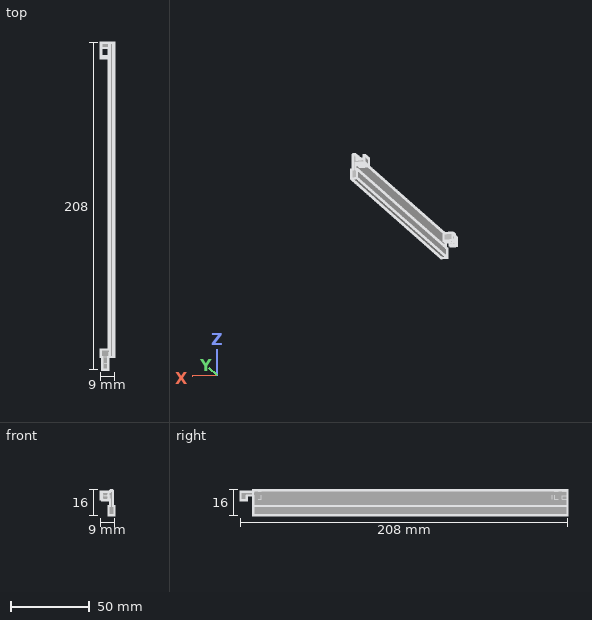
import cadquery as cq

rail_length = 200.0
foot_width = 4.0
foot_height = 6.0
web_thickness = 2.0
total_height = 16.0
total_width = 9.0

foot_left = total_width - foot_width
web_left = foot_left + (foot_width - web_thickness) / 2
web_radius = web_thickness / 2

block_top = total_height - web_radius
block_height = 5.0
block_bottom = block_top - block_height
plug_block_length = 5.0
socket_block_length = 10.0

hook_reach = 8.0
hook_width = 4.0
hook_left = (web_left - hook_width) / 2
arm_thickness = 2.5
tip_length = 4.0
tip_height = 5.5

side_clearance = 0.25
end_clearance = 0.5
socket_left = hook_left - side_clearance
socket_right = hook_left + hook_width + side_clearance
hole_start = rail_length - hook_reach - end_clearance
hole_end = rail_length - hook_reach + tip_length + end_clearance
ledge_height = block_top - arm_thickness - side_clearance


def box(x_start, x_end, y_start, y_end, z_start, z_end):
    """Box between the given limits on each axis."""
    size = (x_end - x_start, y_end - y_start, z_end - z_start)
    return cq.Workplane("XY").box(*size, centered=False).translate((x_start, y_start, z_start))


def make_rail():
    foot = box(foot_left, total_width, 0, rail_length, 0, foot_height)
    web = box(web_left, web_left + web_thickness, 0, rail_length, foot_height, block_top)
    rounded_edge = (
        cq.Workplane("XZ")
        .center(web_left + web_radius, block_top)
        .circle(web_radius)
        .extrude(-rail_length)
    )
    return foot.union(web).union(rounded_edge)


def make_plug():
    """Block at the -Y end with an arm and a downward hook tip."""
    hook_right = hook_left + hook_width
    block = box(0, web_left, 0, plug_block_length, block_bottom, block_top)
    arm = box(hook_left, hook_right, -hook_reach, 0, block_top - arm_thickness, block_top)
    tip = box(hook_left, hook_right, -hook_reach, tip_length - hook_reach, block_top - tip_height, block_top)
    return block.union(arm).union(tip)


def make_socket():
    """Block at the +Y end with a through hole for the tip and a lowered ledge for the arm."""
    block = box(0, web_left, rail_length - socket_block_length, rail_length, block_bottom, block_top)
    hole = box(socket_left, socket_right, hole_start, hole_end, block_bottom, block_top)
    arm_slot = box(socket_left, socket_right, hole_end, rail_length, ledge_height, block_top)
    return block.cut(hole).cut(arm_slot)


result = make_rail().union(make_plug()).union(make_socket())